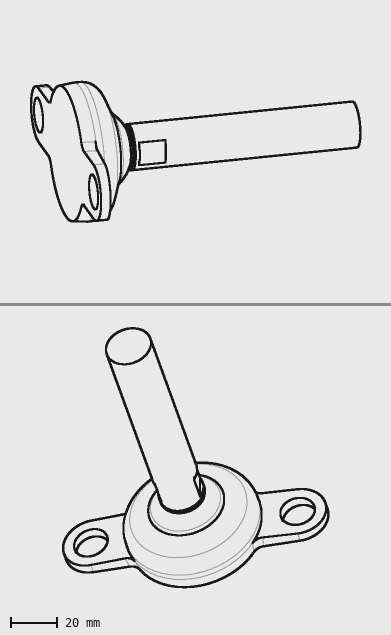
import cadquery as cq
import math

TOTAL_HEIGHT = 128.0

FOOT_RADIUS = 30.02
DRAFT_HEIGHT = 6.3
DRAFT_ANGLE = 7.0
SHOULDER_START = 9.2
SHOULDER_ROUND = 7.5
SLOPE_TOP_RADIUS = 16.8
SLOPE_TOP_HEIGHT = 20.0
SLOPE_ANGLE = 63.4
CAP_RADIUS = 19.6
CAP_BASE_HEIGHT = 21.2
FOOT_TOP = 26.2

LUG_SPAN = 116.0
LUG_WIDTH = 25.0
LUG_HOLE_DIAMETER = 15.0
LUG_TIP_THICKNESS = 4.2
LUG_ROOT_THICKNESS = 5.9
LUG_FILLET = 5.0

STEM_RADIUS = 10.0
STEM_START = 28.3
NECK_RADIUS = 7.8
NECK_BASE = 27.8
COLLAR_RIM = 27.1
COLLAR_SEAT_RADIUS = 9.3
FLAT_START = 30.1
FLAT_END = 41.7
ACROSS_FLATS = 17.0


def turn_profile(points):
    """Revolve an outline of (radius, height) points, closed along the axis, about Y."""
    return cq.Workplane("XY").polyline(points).close().revolve(360, (0, 0), (0, 1))


def make_rim():
    """Drafted disc at the sole, widening upwards."""
    sole_radius = FOOT_RADIUS - DRAFT_HEIGHT * math.tan(math.radians(DRAFT_ANGLE))
    return turn_profile([(0, 0), (sole_radius, 0), (FOOT_RADIUS, DRAFT_HEIGHT), (0, DRAFT_HEIGHT)])


def make_dome():
    """Turned upper part of the foot: band, rounded shoulder, cone and spherical cap."""
    round_centre = FOOT_RADIUS - SHOULDER_ROUND

    def shoulder_point(angle):
        turn = math.radians(angle)
        return (
            round_centre + SHOULDER_ROUND * math.cos(turn),
            SHOULDER_START + SHOULDER_ROUND * math.sin(turn),
        )

    def cap_point(height):
        return (math.sqrt(CAP_RADIUS ** 2 - (height - SHOULDER_START) ** 2), height)

    cap_middle_height = (CAP_BASE_HEIGHT + FOOT_TOP) / 2

    return (
        cq.Workplane("XY")
        .moveTo(0, DRAFT_HEIGHT)
        .lineTo(FOOT_RADIUS, DRAFT_HEIGHT)
        .lineTo(FOOT_RADIUS, SHOULDER_START)
        .threePointArc(shoulder_point(SLOPE_ANGLE / 2), shoulder_point(SLOPE_ANGLE))
        .lineTo(SLOPE_TOP_RADIUS, SLOPE_TOP_HEIGHT)
        .lineTo(*cap_point(CAP_BASE_HEIGHT))
        .threePointArc(cap_point(cap_middle_height), cap_point(FOOT_TOP))
        .lineTo(0, FOOT_TOP)
        .close()
        .revolve(360, (0, 0), (0, 1))
    )


def make_lug_wedge():
    """Full-width bar under the two sloping lug tops, which fall towards the tips."""
    tip = LUG_SPAN / 2
    taper = (LUG_ROOT_THICKNESS - LUG_TIP_THICKNESS) / (tip - FOOT_RADIUS)
    ridge = LUG_TIP_THICKNESS + taper * tip
    return (
        cq.Workplane("XY")
        .polyline([
            (-tip, 0),
            (tip, 0),
            (tip, LUG_TIP_THICKNESS),
            (0, ridge),
            (-tip, LUG_TIP_THICKNESS),
        ])
        .close()
        .extrude(FOOT_RADIUS, both=True)
    )


def make_base():
    """Rim and lugs with rounded inner corners and a fixing hole in each lug."""
    rim = make_rim()
    lug_bar = cq.Workplane("XZ").slot2D(LUG_SPAN, LUG_WIDTH).extrude(-DRAFT_HEIGHT)
    blank = rim.union(lug_bar)

    root_edges = [
        edge for edge in blank.edges().vals()
        if abs(edge.Center().x) < FOOT_RADIUS
        and edge.BoundingBox().ylen > DRAFT_HEIGHT / 2
        and abs(abs(edge.Center().z) - LUG_WIDTH / 2) < LUG_FILLET / 10
    ]
    blank = blank.newObject(root_edges).fillet(LUG_FILLET)
    base = blank.intersect(make_lug_wedge().union(rim))

    hole_spacing = LUG_SPAN - LUG_WIDTH
    holes = (
        cq.Workplane("XZ")
        .pushPoints([(-hole_spacing / 2, 0), (hole_spacing / 2, 0)])
        .circle(LUG_HOLE_DIAMETER / 2)
        .extrude(-DRAFT_HEIGHT)
    )
    return base.cut(holes)


def make_foot():
    return make_base().union(make_dome())


def make_stem():
    """Round rod with a necked, flared collar resting on the foot and two spanner flats."""
    stem = turn_profile([
        (0, FOOT_TOP),
        (COLLAR_SEAT_RADIUS, FOOT_TOP),
        (STEM_RADIUS, COLLAR_RIM),
        (NECK_RADIUS, NECK_BASE),
        (NECK_RADIUS, STEM_START),
        (STEM_RADIUS, STEM_START),
        (STEM_RADIUS, TOTAL_HEIGHT),
        (0, TOTAL_HEIGHT),
    ])

    flat_depth = STEM_RADIUS - ACROSS_FLATS / 2
    flat_length = FLAT_END - FLAT_START
    flat_cutter = cq.Workplane("XY").box(flat_depth, flat_length, 2 * STEM_RADIUS)
    for side in (-1, 1):
        flat_centre_x = side * (STEM_RADIUS - flat_depth / 2)
        stem = stem.cut(flat_cutter.translate((flat_centre_x, FLAT_START + flat_length / 2, 0)))
    return stem


foot = make_foot()
stem = make_stem()

result = cq.Compound.makeCompound([foot.val(), stem.val()])